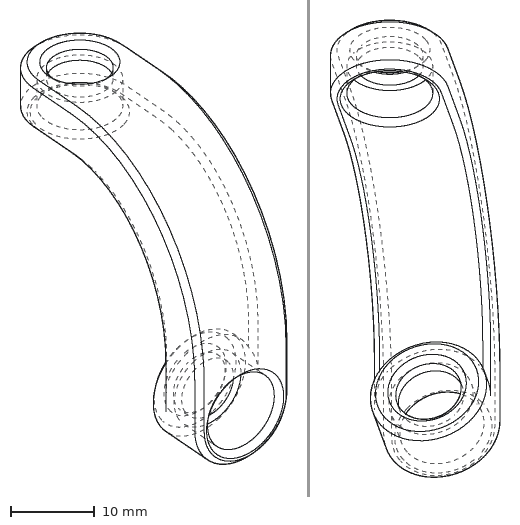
import cadquery as cq

width = 14.22
thickness = 7.11
reach = 31.38
drop = 34.32
boss_length = 9.5
hole_diameter = 8.0
counterbore_diameter = 10.3
lip_length = 2.37
edge_chamfer = 0.8

end_radius = width / 2
bend_start_x = end_radius
bend_end_z = -(drop - end_radius)
outer_bend_x = reach - bend_start_x
outer_bend_z = -bend_end_z
inner_bend_x = outer_bend_x - thickness
inner_bend_z = outer_bend_z - thickness
inner_face_x = reach - thickness


def upper_cylinder(length):
    """Round end on the upper hole axis, running down from the outer face."""
    return cq.Workplane("XY").circle(end_radius).extrude(-length)


def lower_cylinder(length):
    """Round end on the lower hole axis, running inward from the outer face."""
    return cq.Workplane("YZ", origin=(reach, 0, -drop)).circle(end_radius).extrude(-length)


def make_strap():
    """Strap with an elliptical bend and two round ends, chamfered along both faces."""
    strap = (
        cq.Workplane("XZ", origin=(0, width / 2, 0))
        .moveTo(0, 0)
        .lineTo(bend_start_x, 0)
        .ellipseArc(outer_bend_x, outer_bend_z, 0, 90, startAtCurrent=True, sense=-1)
        .lineTo(reach, -drop)
        .lineTo(inner_face_x, -drop)
        .lineTo(inner_face_x, bend_end_z)
        .ellipseArc(inner_bend_x, inner_bend_z, 0, 90, startAtCurrent=True)
        .lineTo(0, -thickness)
        .close()
        .extrude(width)
    )
    strap = strap.union(upper_cylinder(thickness))
    strap = strap.union(lower_cylinder(thickness))
    return strap.edges("%CIRCLE").chamfer(edge_chamfer)


def make_boss():
    """Round boss standing inward from the lower tab, chamfered at both ends."""
    return lower_cylinder(boss_length).edges("%CIRCLE").chamfer(edge_chamfer)


def hole_cutter(total_length):
    """Counterbored hole along -Z from the origin, flared by a chamfer at both mouths."""
    hole_radius = hole_diameter / 2
    bore_radius = counterbore_diameter / 2
    bore_flare_z = edge_chamfer - total_length
    half_section = [
        (0, 0),
        (hole_radius + edge_chamfer, 0),
        (hole_radius, -edge_chamfer),
        (hole_radius, -lip_length),
        (bore_radius, -lip_length),
        (bore_radius, bore_flare_z),
        (bore_radius + edge_chamfer, -total_length),
        (0, -total_length),
    ]
    return cq.Workplane("XZ").polyline(half_section).close().revolve(360, (0, 0), (0, 1))


def upper_hole():
    """Hole of the upper tab, with its counterbore opening downward."""
    return hole_cutter(thickness)


def lower_hole():
    """Hole of the boss, with its counterbore opening on the outer face of the strap."""
    along_x = hole_cutter(boss_length).rotate((0, 0, 0), (0, 1, 0), -90)
    return along_x.translate((reach - boss_length, 0, -drop))


blank = make_strap().union(make_boss())
result = blank.cut(upper_hole()).cut(lower_hole())